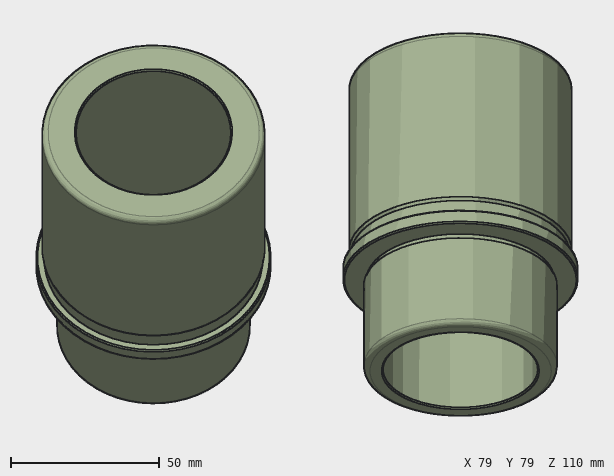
import cadquery as cq
import math

total_height = 110.0
flange_bottom = 35.0
flange_thickness = 5.0
flange_top = flange_bottom + flange_thickness
groove_top = 45.0

flange_diameter = 79.0
body_diameter = 75.0
groove_diameter = 73.7
spigot_diameter = 65.0
bore_diameter = 52.0

end_fillet = 2.0
flange_chamfer = 0.5
bore_chamfer = 0.5
body_lower_chamfer_angle = 30.0
neck_height = 2.0
neck_radius = 2.8


def cylinder(diameter, bottom, top):
    return cq.Workplane("XY").workplane(offset=bottom).circle(diameter / 2).extrude(top - bottom)


def make_spigot():
    """Lower cylinder with a rounded foot and a concave neck that meets the flange upright."""
    spigot_radius = spigot_diameter / 2
    neck_bottom = flange_bottom - neck_height
    arc_angle = math.asin(neck_height / neck_radius)
    root_radius = spigot_radius - neck_radius * (1 - math.cos(arc_angle))
    arc_middle = (
        root_radius + neck_radius * (1 - math.cos(arc_angle / 2)),
        flange_bottom - neck_radius * math.sin(arc_angle / 2),
    )
    spigot = (
        cq.Workplane("XZ")
        .moveTo(0, 0)
        .lineTo(spigot_radius, 0)
        .lineTo(spigot_radius, neck_bottom)
        .threePointArc(arc_middle, (root_radius, flange_bottom))
        .lineTo(0, flange_bottom)
        .close()
        .revolve(360, (0, 0), (0, 1))
    )
    return spigot.faces("<Z").edges().fillet(end_fillet)


def make_flange():
    """Collar with both rims chamfered."""
    return cylinder(flange_diameter, flange_bottom, flange_top).edges().chamfer(flange_chamfer)


def make_groove_core():
    """Slightly smaller cylinder that leaves a shallow groove above the flange."""
    return cylinder(groove_diameter, flange_top, groove_top)


def make_body():
    """Upper cylinder, rounded at the top and tapered to the groove at the bottom."""
    body = cylinder(body_diameter, groove_top, total_height)
    body = body.faces(">Z").edges().fillet(end_fillet)
    groove_depth = (body_diameter - groove_diameter) / 2
    chamfer_height = groove_depth / math.tan(math.radians(body_lower_chamfer_angle))
    return body.faces("<Z").edges().chamfer(chamfer_height, groove_depth)


def make_bore():
    """Through bore, to be cut, with a chamfered mouth at each end."""
    bore = cylinder(bore_diameter, 0, total_height)
    mouth_radius = bore_diameter / 2 + bore_chamfer
    for end, direction in ((0, 1), (total_height, -1)):
        mouth = cq.Solid.makeCone(
            mouth_radius,
            bore_diameter / 2,
            bore_chamfer,
            pnt=cq.Vector(0, 0, end),
            dir=cq.Vector(0, 0, direction),
        )
        bore = bore.union(cq.Workplane(obj=mouth))
    return bore


result = make_spigot().union(make_flange()).union(make_groove_core()).union(make_body()).cut(make_bore())